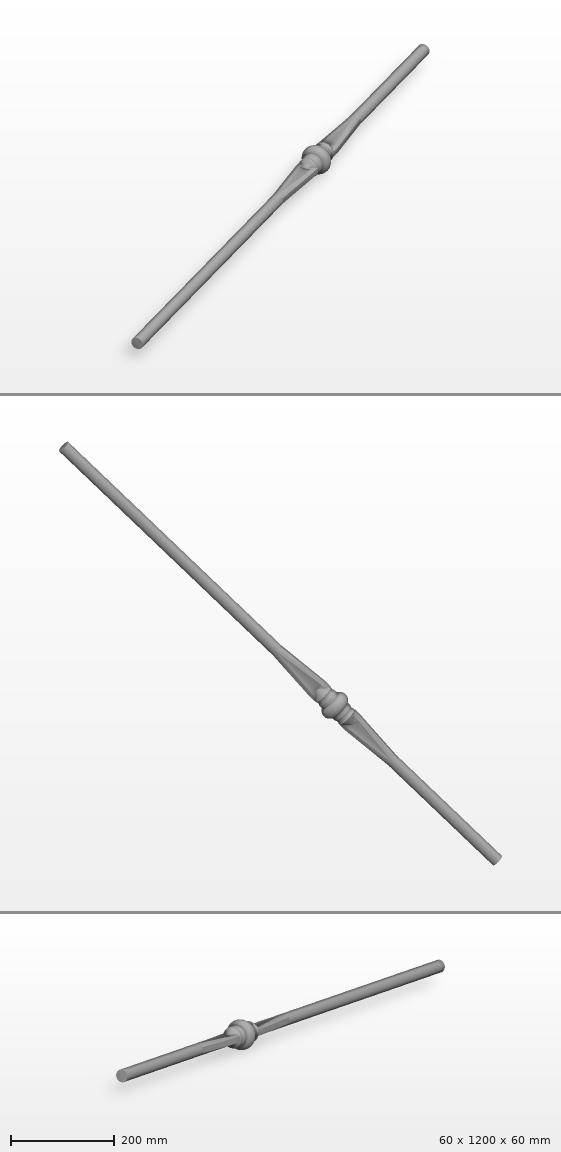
import cadquery as cq
import math

BAR_LENGTH = 1200.0
BAR_RADIUS = 25.0 / 2
KNOB_Y = 150.0

LEAF_TIP = 163.0
LEAF_SHOULDER = 49.0
LEAF_ROOT = 35.0
LEAF_HALF_WIDTH = 20.0
LEAF_HALF_THICKNESS = 8.0
FLUTE_HALF_WIDTH = 13.0
FLUTE_DEPTH = 2.0
EDGE_HALF_HEIGHT = 6.0
TIP_FLUTE_HALF_WIDTH = 0.6
FLAT_SIDES = (3, 7)

BALL_RADIUS = 30.0
BALL_HALF_LENGTH = 13.0
BALL_SHOULDER = (9.0, 27.0)
NECK_RADIUS = 42.0 / 2
NECK_END = 22.0
GROOVE_RADIUS = 19.0
GROOVE_AT = 28.0
RIM_AT = 32.0
RIM_SHOULDER = (37.0, 18.0)
KNOB_HALF_LENGTH = 41.0
KNOB_END_RADIUS = 29.0 / 2


def section_at(distance):
    """Sketch plane across the bar, with local x along X and local y along Z."""
    return cq.Workplane(cq.Plane(origin=(0, distance, 0), xDir=(1, 0, 0), normal=(0, -1, 0)))


def tip_section():
    """Bar circle with a flat on each side, split into the eight edges the leaf faces start from."""
    side_angle = math.asin(EDGE_HALF_HEIGHT / BAR_RADIUS)
    top_angle = math.acos(TIP_FLUTE_HALF_WIDTH / BAR_RADIUS)
    angles = [side_angle, top_angle]
    angles += [math.pi - a for a in reversed(angles)]
    angles += [math.pi + a for a in angles]

    def on_circle(angle):
        return (BAR_RADIUS * math.cos(angle), BAR_RADIUS * math.sin(angle))

    outline = section_at(LEAF_TIP).moveTo(*on_circle(angles[0]))
    for index, (start, end) in enumerate(zip(angles, angles[1:] + [angles[0] + 2 * math.pi])):
        if index in FLAT_SIDES:
            outline = outline.lineTo(*on_circle(end))
        else:
            outline = outline.threePointArc(on_circle((start + end) / 2), on_circle(end))
    return outline.wire().val()


def shoulder_section(flute_depth):
    """Eight-sided leaf section, its top and bottom hollowed by flute_depth."""
    flute, width = FLUTE_HALF_WIDTH, LEAF_HALF_WIDTH
    top, edge = LEAF_HALF_THICKNESS, EDGE_HALF_HEIGHT
    outline = section_at(LEAF_SHOULDER).moveTo(width, edge).lineTo(flute, top)
    if flute_depth > 0:
        outline = outline.threePointArc((0, top - flute_depth), (-flute, top))
    else:
        outline = outline.lineTo(-flute, top)
    outline = outline.lineTo(-width, edge).lineTo(-width, -edge).lineTo(-flute, -top)
    if flute_depth > 0:
        outline = outline.threePointArc((0, flute_depth - top), (flute, -top))
    else:
        outline = outline.lineTo(flute, -top)
    return outline.lineTo(width, -edge).close()


def make_leaf():
    """Leaf on the +Y side of a knob centred at the origin."""
    fluted = cq.Solid.makeLoft([tip_section(), shoulder_section(FLUTE_DEPTH).val()], True)
    root = shoulder_section(0).extrude(LEAF_SHOULDER - LEAF_ROOT)
    flare = cq.Solid.makeCone(
        LEAF_HALF_THICKNESS,
        KNOB_END_RADIUS,
        LEAF_SHOULDER - KNOB_HALF_LENGTH,
        pnt=cq.Vector(0, LEAF_SHOULDER, 0),
        dir=cq.Vector(0, -1, 0),
    )
    return root.union(cq.Workplane(fluted)).union(cq.Workplane(flare))


def knob_half():
    """Solid half knob on the +Y side, before boring."""
    return (
        cq.Workplane("XY")
        .lineTo(BALL_RADIUS, 0)
        .threePointArc(BALL_SHOULDER[::-1], (NECK_RADIUS, BALL_HALF_LENGTH))
        .lineTo(NECK_RADIUS, NECK_END)
        .threePointArc((GROOVE_RADIUS, GROOVE_AT), (NECK_RADIUS, RIM_AT))
        .threePointArc(RIM_SHOULDER[::-1], (KNOB_END_RADIUS, KNOB_HALF_LENGTH))
        .lineTo(0, KNOB_HALF_LENGTH)
        .close()
        .revolve(360, (0, 0), (0, 1))
    )


def both_sides(half):
    """Join a +Y half with its mirror image."""
    return half.union(half.mirror("XZ"))


def round_bar(start, end):
    """Plain round length of bar between two Y positions."""
    return section_at(end).circle(BAR_RADIUS).extrude(end - start)


def make_bar(knob_envelope):
    leaves = both_sides(make_leaf()).cut(knob_envelope).translate((0, KNOB_Y, 0))
    knob_seat = round_bar(KNOB_Y - KNOB_HALF_LENGTH, KNOB_Y + KNOB_HALF_LENGTH)
    long_end = round_bar(-BAR_LENGTH / 2, KNOB_Y - LEAF_TIP)
    short_end = round_bar(KNOB_Y + LEAF_TIP, BAR_LENGTH / 2)
    return leaves.union(knob_seat).union(long_end).union(short_end)


def make_knob(knob_envelope):
    bore = round_bar(-KNOB_HALF_LENGTH, KNOB_HALF_LENGTH)
    return knob_envelope.cut(bore).translate((0, KNOB_Y, 0))


envelope = both_sides(knob_half())
bar = make_bar(envelope)
knob = make_knob(envelope)

result = cq.Compound.makeCompound([bar.val(), knob.val()])